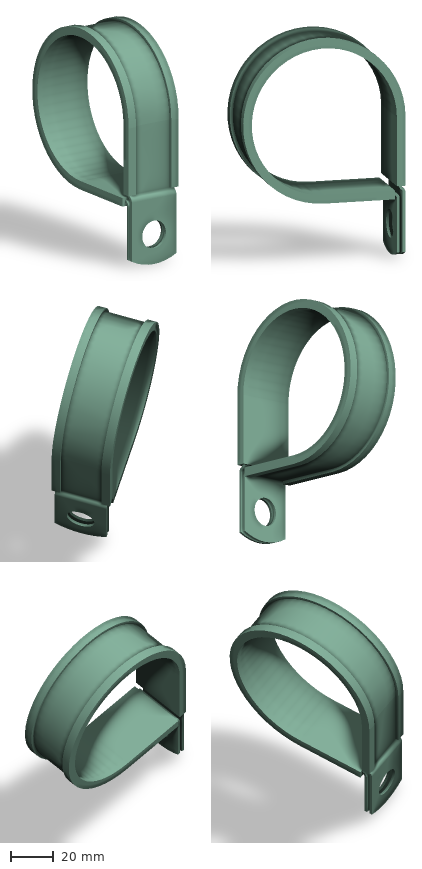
import cadquery as cq
import math

outer_radius = 39.2
cushion_thickness = 4.2
cushion_width = 28.5
down_leg_end_z = -33.0
right_leg_end_x = 34.2

channel_width = 20.1
channel_depth = 1.5

strap_thickness = 1.3
strap_width = 25.4
bend_radius = 1.3
outer_tab_face_x = 39.5
tab_bottom_z = -68.2
tab_end_sagitta = 3.2
hole_diameter = 13.4
hole_z = -53.8
strap_embed = 1.1

inner_radius = outer_radius - cushion_thickness
strap_outer = outer_radius - channel_depth
strap_inner = strap_outer - strap_thickness
bend_mid_radius = bend_radius + strap_thickness / 2
bend_outer_radius = bend_radius + strap_thickness


def extrude_centred(profile, width):
    """Extrude an XZ profile equally to both sides of the mid-plane."""
    return profile.extrude(width / 2, both=True)


def loop_band(outer, inner, width):
    """Three-quarter ring with straight legs tangent to both of its ends."""
    diagonal = math.sqrt(0.5)
    profile = (
        cq.Workplane("XZ")
        .moveTo(outer, down_leg_end_z)
        .lineTo(outer, 0)
        .threePointArc((-outer * diagonal, outer * diagonal), (0, -outer))
        .lineTo(right_leg_end_x, -outer)
        .lineTo(right_leg_end_x, -inner)
        .lineTo(0, -inner)
        .threePointArc((-inner * diagonal, inner * diagonal), (inner, 0))
        .lineTo(inner, down_leg_end_z)
        .close()
    )
    return extrude_centred(profile, width)


def polar(centre, radius, angle):
    """XZ point at an angle in degrees, measured from +X towards +Z."""
    turn = math.radians(angle)
    return (centre[0] + radius * math.cos(turn), centre[1] + radius * math.sin(turn))


def joggled_tab():
    """Strap below the down leg, stepped outwards by two opposite bends."""
    offset = outer_tab_face_x - strap_outer
    bend_angle = math.degrees(math.acos(1 - offset / (2 * bend_mid_radius)))
    jog_height = 2 * bend_mid_radius * math.sin(math.radians(bend_angle))
    upper = (strap_outer + bend_radius, down_leg_end_z)
    lower = (outer_tab_face_x - bend_outer_radius, down_leg_end_z - jog_height)
    tab_inner_x = outer_tab_face_x - strap_thickness
    profile = (
        cq.Workplane("XZ")
        .moveTo(strap_outer, down_leg_end_z + strap_embed)
        .lineTo(strap_outer, down_leg_end_z)
        .threePointArc(polar(upper, bend_radius, 180 + bend_angle / 2),
                       polar(upper, bend_radius, 180 + bend_angle))
        .threePointArc(polar(lower, bend_outer_radius, bend_angle / 2),
                       (outer_tab_face_x, lower[1]))
        .lineTo(outer_tab_face_x, tab_bottom_z)
        .lineTo(tab_inner_x, tab_bottom_z)
        .lineTo(tab_inner_x, lower[1])
        .threePointArc(polar(lower, bend_radius, bend_angle / 2),
                       polar(lower, bend_radius, bend_angle))
        .threePointArc(polar(upper, bend_outer_radius, 180 + bend_angle / 2),
                       (strap_inner, down_leg_end_z))
        .lineTo(strap_inner, down_leg_end_z + strap_embed)
        .close()
    )
    return extrude_centred(profile, strap_width)


def turned_down_tab():
    """Strap beyond the right leg, turned straight down by one bend."""
    centre = (right_leg_end_x, -strap_outer - bend_radius)
    profile = (
        cq.Workplane("XZ")
        .moveTo(right_leg_end_x - strap_embed, -strap_inner)
        .lineTo(right_leg_end_x, -strap_inner)
        .threePointArc(polar(centre, bend_outer_radius, 45), polar(centre, bend_outer_radius, 0))
        .lineTo(right_leg_end_x + bend_outer_radius, tab_bottom_z)
        .lineTo(right_leg_end_x + bend_radius, tab_bottom_z)
        .lineTo(right_leg_end_x + bend_radius, centre[1])
        .threePointArc(polar(centre, bend_radius, 45), polar(centre, bend_radius, 90))
        .lineTo(right_leg_end_x - strap_embed, -strap_outer)
        .close()
    )
    return extrude_centred(profile, strap_width)


def tab_outline():
    """Block with the rounded lower end and bolt hole shared by both tabs."""
    half_width = strap_width / 2
    corner_z = tab_bottom_z + tab_end_sagitta
    outline = (
        cq.Workplane("YZ")
        .moveTo(-half_width, 0)
        .lineTo(-half_width, corner_z)
        .threePointArc((0, tab_bottom_z), (half_width, corner_z))
        .lineTo(half_width, 0)
        .close()
        .extrude(outer_tab_face_x)
    )
    bolt_hole = (
        cq.Workplane("YZ")
        .center(0, hole_z)
        .circle(hole_diameter / 2)
        .extrude(outer_tab_face_x)
    )
    return outline.cut(bolt_hole)


cushion = loop_band(outer_radius, inner_radius, cushion_width)
channel = loop_band(outer_radius, strap_outer, channel_width)
tabs = joggled_tab().union(turned_down_tab()).intersect(tab_outline())

result = cushion.cut(channel).union(tabs)